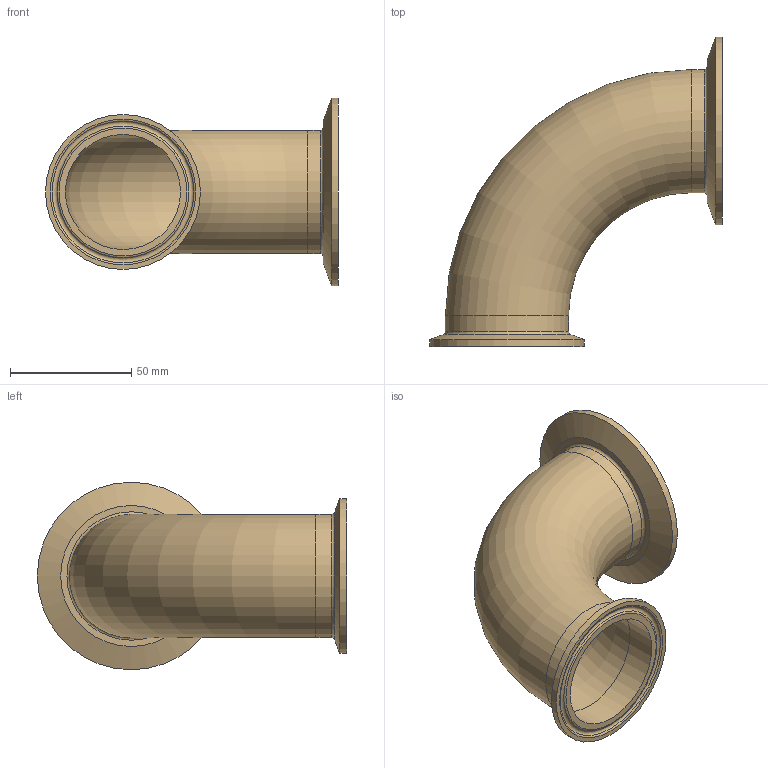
import cadquery as cq
import math

TUBE_RADIUS = 50.8 / 2
BORE_RADIUS = 47.5 / 2
BEND_RADIUS = 76.2
TANGENT_LENGTH = 12.7
LEG_LENGTH = BEND_RADIUS + TANGENT_LENGTH

RIM_THICKNESS = 2.85
CLAMP_SLOPE = math.radians(20)
SMALL_FLANGE_RADIUS = 63.91 / 2
SMALL_NECK_FILLET = 1.5
LARGE_FLANGE_RADIUS = 77.39 / 2
LARGE_FLANGE_THICKNESS = 6.35
LARGE_NECK_FILLET = 1.1

GROOVE_CENTRE_RADIUS = 28.2
GROOVE_HALF_WIDTH = 1.85
GROOVE_ARC_RADIUS = 1.2
GROOVE_EDGE_RADIUS = 0.95

SMALL_END = cq.Plane(origin=(0, -LEG_LENGTH, 0), xDir=(1, 0, 0), normal=(0, 0, 1))
LARGE_END = cq.Plane(origin=(LEG_LENGTH, 0, 0), xDir=(0, 1, 0), normal=(0, 0, 1))


def revolve_on_end(profile):
    """Close a profile and turn it about the axis of its tube end."""
    return profile.close().revolve(360, (0, 0), (0, 1))


def elbow_rod(radius):
    """Solid rod that follows the whole centreline, end face to end face."""
    path = (
        cq.Workplane("XY")
        .moveTo(0, -LEG_LENGTH)
        .lineTo(0, -BEND_RADIUS)
        .radiusArc((BEND_RADIUS, 0), BEND_RADIUS)
        .lineTo(LEG_LENGTH, 0)
    )
    return cq.Workplane("XZ", origin=(0, -LEG_LENGTH, 0)).circle(radius).sweep(path)


def small_flange():
    """Clamp flange whose sloped back runs into the tube through a fillet."""
    cone_rise = (SMALL_FLANGE_RADIUS - TUBE_RADIUS) * math.tan(CLAMP_SLOPE)
    corner_height = RIM_THICKNESS + cone_rise
    setback = SMALL_NECK_FILLET * math.tan((math.pi / 2 - CLAMP_SLOPE) / 2)
    fillet_centre = (TUBE_RADIUS + SMALL_NECK_FILLET, corner_height + setback)
    fillet_foot = (
        TUBE_RADIUS + setback * math.cos(CLAMP_SLOPE),
        corner_height - setback * math.sin(CLAMP_SLOPE),
    )
    middle_angle = math.pi + (math.pi / 2 - CLAMP_SLOPE) / 2
    fillet_middle = (
        fillet_centre[0] + SMALL_NECK_FILLET * math.cos(middle_angle),
        fillet_centre[1] + SMALL_NECK_FILLET * math.sin(middle_angle),
    )
    profile = (
        cq.Workplane(SMALL_END)
        .lineTo(SMALL_FLANGE_RADIUS, 0)
        .lineTo(SMALL_FLANGE_RADIUS, RIM_THICKNESS)
        .lineTo(*fillet_foot)
        .threePointArc(fillet_middle, (TUBE_RADIUS, fillet_centre[1]))
        .lineTo(0, fillet_centre[1])
    )
    return revolve_on_end(profile)


def large_flange():
    """Clamp flange with a sloped back, a flat ring and a filleted neck."""
    cone_rise = LARGE_FLANGE_THICKNESS - RIM_THICKNESS
    ring_radius = LARGE_FLANGE_RADIUS - cone_rise / math.tan(CLAMP_SLOPE)
    neck_height = LARGE_FLANGE_THICKNESS + LARGE_NECK_FILLET
    middle_offset = LARGE_NECK_FILLET * (1 - math.cos(math.pi / 4))
    profile = (
        cq.Workplane(LARGE_END)
        .lineTo(LARGE_FLANGE_RADIUS, 0)
        .lineTo(LARGE_FLANGE_RADIUS, RIM_THICKNESS)
        .lineTo(ring_radius, LARGE_FLANGE_THICKNESS)
        .lineTo(TUBE_RADIUS + LARGE_NECK_FILLET, LARGE_FLANGE_THICKNESS)
        .threePointArc(
            (TUBE_RADIUS + middle_offset, LARGE_FLANGE_THICKNESS + middle_offset),
            (TUBE_RADIUS, neck_height),
        )
        .lineTo(0, neck_height)
    )
    return revolve_on_end(profile)


def gasket_groove():
    """Ring of material removed by the groove: a round bottom and two rounded edges."""
    centre_distance = GROOVE_ARC_RADIUS + GROOVE_EDGE_RADIUS
    wall_angle = math.asin(GROOVE_HALF_WIDTH / centre_distance)
    depth = centre_distance * (1 - math.cos(wall_angle))
    join_offset = GROOVE_ARC_RADIUS * math.sin(wall_angle)
    join_depth = GROOVE_EDGE_RADIUS * (1 - math.cos(wall_angle))
    round_offset = GROOVE_HALF_WIDTH - GROOVE_EDGE_RADIUS * math.sin(wall_angle / 2)
    round_depth = GROOVE_EDGE_RADIUS * (1 - math.cos(wall_angle / 2))
    profile = (
        cq.Workplane(SMALL_END)
        .moveTo(GROOVE_CENTRE_RADIUS - GROOVE_HALF_WIDTH, 0)
        .threePointArc(
            (GROOVE_CENTRE_RADIUS - round_offset, round_depth),
            (GROOVE_CENTRE_RADIUS - join_offset, join_depth),
        )
        .threePointArc(
            (GROOVE_CENTRE_RADIUS, depth),
            (GROOVE_CENTRE_RADIUS + join_offset, join_depth),
        )
        .threePointArc(
            (GROOVE_CENTRE_RADIUS + round_offset, round_depth),
            (GROOVE_CENTRE_RADIUS + GROOVE_HALF_WIDTH, 0),
        )
    )
    return revolve_on_end(profile)


body = elbow_rod(TUBE_RADIUS).union(small_flange()).union(large_flange())
result = body.cut(gasket_groove()).cut(elbow_rod(BORE_RADIUS))